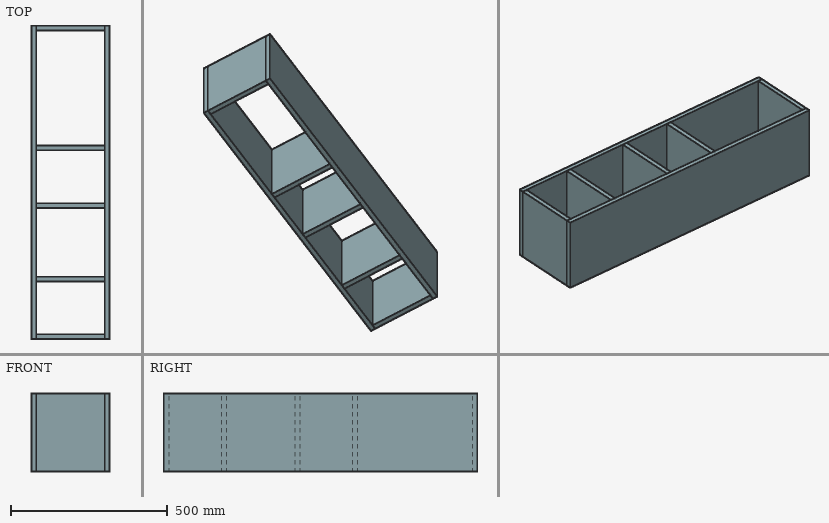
import cadquery as cq

width = 250.0
length = 1000.0
height = 250.0

board = 16.0
divider_starts = [184.0, 418.0, 602.0]

inner_width = width - 2 * board


def make_side(x_start):
    """Full-length side board whose -X face lies at x_start."""
    return cq.Workplane("XY").box(board, length, height, centered=False).translate((x_start, 0, 0))


def make_cross_board(y_start):
    """Board that fits between the two sides, with its -Y face at y_start."""
    return cq.Workplane("XY").box(inner_width, board, height, centered=False).translate((board, y_start, 0))


sides = [make_side(x) for x in (0, width - board)]
ends = [make_cross_board(y) for y in (0, length - board)]
dividers = [make_cross_board(y) for y in divider_starts]

result = cq.Compound.makeCompound([body.val() for body in sides + ends + dividers])